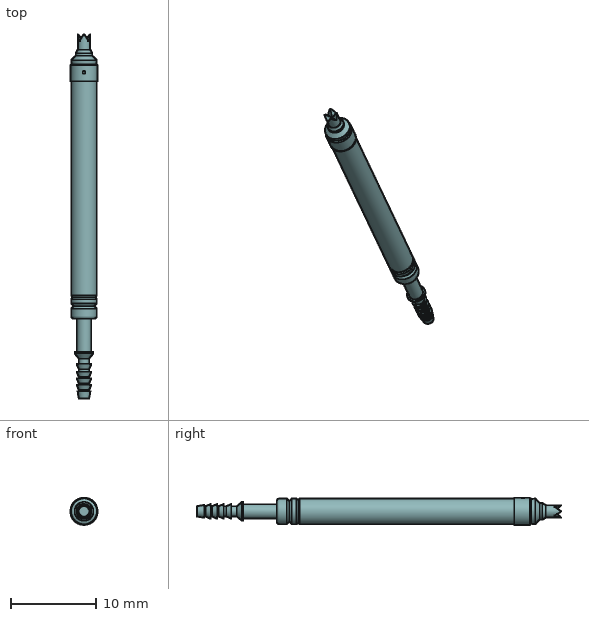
import cadquery as cq
import math

LENGTH = 42.7

PLUNGER_R = 0.73
PLUNGER_END = 1.85
CROWN_DEPTH = 0.8

NOSE_FRONT_R = 0.75
NOSE_R = 1.0
NOSE_START = 2.2
NOSE_END = 2.5
BEAD_START = 3.05
BEAD_RADIUS = 1.75
COLLAR_NECK_R = 1.45
COLLAR_NECK = 3.5
COLLAR_DIAMETER = 3.2
COLLAR_R = COLLAR_DIAMETER / 2
COLLAR_START = 3.67
COLLAR_END = 5.5

MARK_DIAMETER = 0.35
MARK_STATION = 4.5
MARK_DEPTH = 0.13

BARREL_DIAMETER = 3.05
BARREL_R = BARREL_DIAMETER / 2
GROOVE_1_CENTER = 30.85
GROOVE_1_DEPTH = 0.13
GROOVE_1_WIDTH = 0.43
GROOVE_2_CENTER = 31.85
GROOVE_2_DEPTH = 0.3
GROOVE_2_WIDTH = 0.6
BARREL_CURL_START = 33.0
BARREL_END = 33.35
BARREL_CURL = BARREL_END - BARREL_CURL_START

SHAFT_R = 0.85
FLANGE_R = 1.1
FLANGE_START = 37.25
FLANGE_WIDTH = 0.15
FLANGE_TAPER_END = 38.0

STEM_DIAMETER = 1.25
STEM_R = STEM_DIAMETER / 2
BARB_DIAMETER = 1.75
BARB_R = BARB_DIAMETER / 2
BARB_STATIONS = (38.65, 39.55, 40.3, 41.08)
BARB_LENGTH = 0.6
END_BARB_R = 0.75
END_BARB_STATION = 41.85


def v_groove_points(center, width, depth):
    """Outline points of a V groove rolled into the barrel."""
    return [
        (BARREL_R, center - width / 2),
        (BARREL_R - depth, center),
        (BARREL_R, center + width / 2),
    ]


def barb_points(station):
    """Outline points of a barb: a square front face and a taper to the stem."""
    return [
        (STEM_R, station),
        (BARB_R, station),
        (STEM_R, station + BARB_LENGTH),
    ]


def add_points(outline, points):
    """Continue the outline through (radius, station) points."""
    for radius, station in points:
        outline = outline.lineTo(radius, -station)
    return outline


def turned_body():
    """The whole pin as one revolved outline."""
    nose_points = [
        (PLUNGER_R, 0),
        (PLUNGER_R, PLUNGER_END),
        (NOSE_FRONT_R, PLUNGER_END),
        (NOSE_R, NOSE_START),
        (NOSE_R, NOSE_END),
        (BARREL_R, BEAD_START),
    ]
    barrel_points = [
        (COLLAR_R, COLLAR_START),
        (COLLAR_R, COLLAR_END),
        (BARREL_R, COLLAR_END),
    ]
    barrel_points += v_groove_points(GROOVE_1_CENTER, GROOVE_1_WIDTH, GROOVE_1_DEPTH)
    barrel_points += v_groove_points(GROOVE_2_CENTER, GROOVE_2_WIDTH, GROOVE_2_DEPTH)
    barrel_points.append((BARREL_R, BARREL_CURL_START))

    tail_points = [
        (SHAFT_R, BARREL_END),
        (SHAFT_R, FLANGE_START),
        (FLANGE_R, FLANGE_START),
        (FLANGE_R, FLANGE_START + FLANGE_WIDTH),
        (STEM_R, FLANGE_TAPER_END),
    ]
    for station in BARB_STATIONS:
        tail_points += barb_points(station)
    tail_points += [
        (STEM_R, END_BARB_STATION),
        (END_BARB_R, END_BARB_STATION),
        (STEM_R, LENGTH),
        (0, LENGTH),
    ]

    outline = add_points(cq.Workplane("XY").moveTo(0, 0), nose_points)
    outline = outline.radiusArc((COLLAR_NECK_R, -COLLAR_NECK), BEAD_RADIUS)
    outline = add_points(outline, barrel_points)
    outline = outline.radiusArc((BARREL_R - BARREL_CURL, -BARREL_END), BARREL_CURL)
    outline = add_points(outline, tail_points)
    return outline.close().revolve(360, (0, 0, 0), (0, 1, 0))


def crown_cut(angle):
    """A V slot across the crown, turned about the pin axis.

    The slot is as wide at the tip as the gap between neighbouring teeth, so
    two crossed slots leave four sharp points on the plunger rim.
    """
    half_width = PLUNGER_R * math.sin(math.radians(45))
    slot = (
        cq.Workplane("XY")
        .polyline([(-half_width, 0), (half_width, 0), (0, -CROWN_DEPTH)])
        .close()
        .extrude(PLUNGER_R * 2, both=True)
    )
    return slot.rotate((0, 0, 0), (0, 1, 0), angle)


def press_mark():
    """The small round pit on the +Z side of the collar."""
    return (
        cq.Workplane("XY", origin=(0, -MARK_STATION, COLLAR_R - MARK_DEPTH))
        .circle(MARK_DIAMETER / 2)
        .extrude(MARK_DEPTH * 2)
    )


result = turned_body()
for slot_angle in (45, -45):
    result = result.cut(crown_cut(slot_angle))
result = result.cut(press_mark())